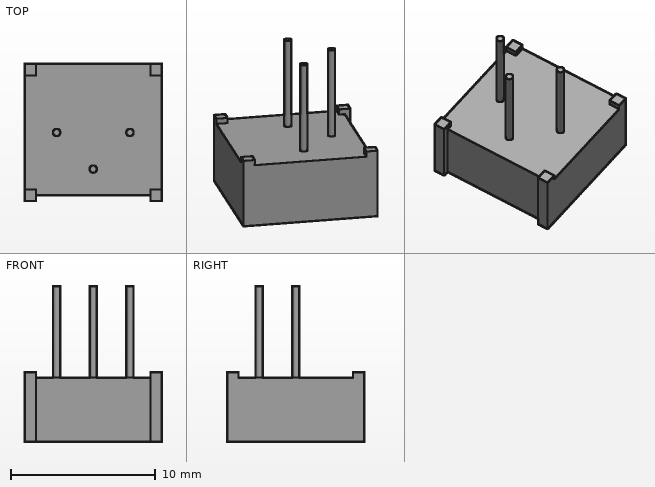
import cadquery as cq

housing_side = 9.53
housing_height = 4.46
front_recess = 0.41

post_side = 0.81
post_height = 4.84

overall_height = 10.8
pin_diameter = 0.51
pin_pitch = 2.54
pin_length = overall_height - housing_height
pin_positions = [(-pin_pitch, 0), (0, -pin_pitch), (pin_pitch, 0)]


def make_housing():
    """Block with a recessed -Y wall and a raised post at each corner."""
    block_depth = housing_side - front_recess
    block = (
        cq.Workplane("XY")
        .center(0, front_recess / 2)
        .rect(housing_side, block_depth)
        .extrude(housing_height)
    )
    post_spacing = housing_side - post_side
    posts = (
        cq.Workplane("XY")
        .rect(post_spacing, post_spacing, forConstruction=True)
        .vertices()
        .rect(post_side, post_side)
        .extrude(post_height)
    )
    return block.union(posts)


def make_pin(x, y):
    """Round pin rising from the upper face of the housing."""
    return (
        cq.Workplane("XY", origin=(x, y, housing_height))
        .circle(pin_diameter / 2)
        .extrude(pin_length)
    )


housing = make_housing()
pins = [make_pin(x, y) for x, y in pin_positions]

result = cq.Compound.makeCompound([housing.val(), *[pin.val() for pin in pins]])